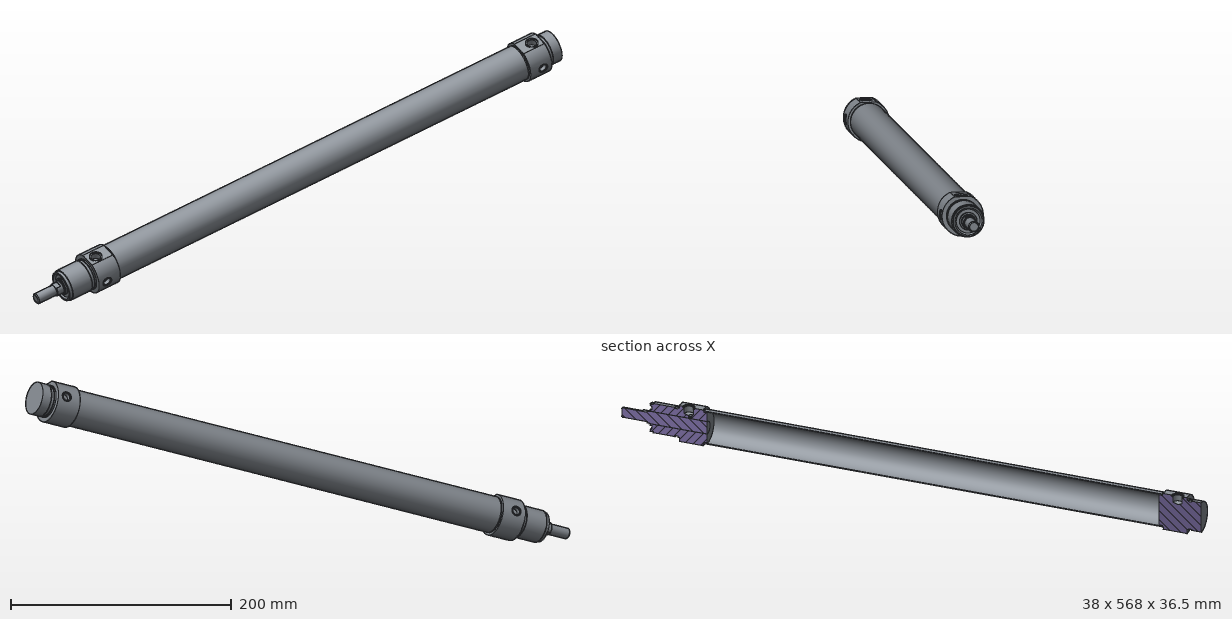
import cadquery as cq


rod_reach = 28.0
total_length = 568.0
front_neck_length = 28.7
rear_neck_length = 14.0
collar_length = 23.3
front_collar_start = front_neck_length
front_collar_end = front_collar_start + collar_length
rear_end = total_length - rod_reach
rear_collar_end = rear_end - rear_neck_length
rear_collar_start = rear_collar_end - collar_length

tube_diameter = 33.6
tube_bore = 31.0

collar_diameter = 38.0
collar_flat_height = 17.5
tube_shoulder_length = 1.2
neck_diameter = 30.0
relief_diameter = 28.0
shoulder_length = 1.5
relief_length = 3.0
nose_length = 3.0
spigot_length = 3.0

tube_start = front_collar_end + tube_shoulder_length
tube_end = rear_collar_start - tube_shoulder_length

port_from_neck = 9.2
port_diameter = 8.57
port_depth = 7.0
port_point_depth = 1.5
passage_diameter = 3.0
passage_offset = 1.5
passage_depth = 10.0
port_recess_diameter = 11.5
port_recess_depth = 1.0
pivot_diameter = 6.92
pivot_depth = 5.0
pivot_recess_diameter = 9.2
pivot_recess_depth = 1.0

seal_mouth_diameter = 25.0
seal_outer_diameter = 22.0
seal_inner_diameter = 16.0
seal_groove_depth = 1.5
lip_diameter = 13.0
lip_length = 1.0

rod_diameter = 12.0
rod_flats_width = 10.0
rod_flats_length = 5.0
rod_end_chamfer = 0.5
thread_diameter = 10.0
thread_length = 20.0
thread_chamfer = 1.0


def cylinder(diameter, start, end):
    """A round bar on the Y axis between two Y positions."""
    return (
        cq.Workplane("XZ", origin=(0, start, 0))
        .circle(diameter / 2)
        .extrude(start - end)
    )


def ring(outer, inner, start, end):
    """A tube on the Y axis between two Y positions."""
    return cylinder(outer, start, end).cut(cylinder(inner, start, end))


def stepped_hole(plane, origin, hole, depth, recess, recess_depth):
    """A blind hole with a shallow recess around its mouth, sunk against the plane's normal."""
    mouth = cq.Workplane(plane, origin=origin)
    return mouth.circle(hole / 2).extrude(-depth).union(mouth.circle(recess / 2).extrude(-recess_depth))


def make_collar(start, port_y):
    """A cover's collar with its flat, port, and two pivot holes."""
    collar = cylinder(collar_diameter, start, start + collar_length)
    above_flat = cq.Workplane("XY", origin=(0, start + collar_length / 2, collar_flat_height)).box(
        collar_diameter, collar_length, collar_diameter, centered=(True, True, False)
    )
    collar = collar.cut(above_flat)
    collar = collar.cut(stepped_hole(
        "XY", (0, port_y, collar_flat_height), port_diameter, port_depth,
        port_recess_diameter, port_recess_depth))
    port_floor = cq.Vector(0, port_y, collar_flat_height - port_depth)
    drill_point = cq.Solid.makeCone(
        port_diameter / 2, 0, port_point_depth, port_floor, cq.Vector(0, 0, -1)
    )
    collar = collar.cut(cq.Workplane(drill_point))
    for plane, side in (("YZ", 1), ("ZY", -1)):
        collar = collar.cut(stepped_hole(
            plane, (side * collar_diameter / 2, port_y, 0), pivot_diameter, pivot_depth,
            pivot_recess_diameter, pivot_recess_depth))
    return collar


def make_seal_groove():
    """The ring groove around the rod's lip, with a sloping outer wall that narrows inward."""
    funnel = cq.Solid.makeCone(
        seal_mouth_diameter / 2, seal_outer_diameter / 2, seal_groove_depth,
        cq.Vector(0, 0, 0), cq.Vector(0, 1, 0),
    )
    return cq.Workplane(funnel).cut(cylinder(seal_inner_diameter, 0, seal_groove_depth))


def make_passage(port_y):
    """The small air hole in the floor of the front port, set toward the tube."""
    mouth = cq.Workplane("XY", origin=(0, port_y + passage_offset, collar_flat_height))
    return mouth.circle(passage_diameter / 2).extrude(-passage_depth)


def make_front_cover():
    """The rod-end cover: nose, threaded neck, collar and the spigot that enters the tube."""
    port_y = front_collar_start + port_from_neck
    shoulder_start = front_collar_start - shoulder_length
    spigot_end = tube_start + spigot_length
    cover = make_collar(front_collar_start, port_y)
    cover = cover.union(cylinder(relief_diameter, 0, front_collar_start))
    cover = cover.union(cylinder(neck_diameter, nose_length, shoulder_start - relief_length))
    cover = cover.union(cylinder(neck_diameter, shoulder_start, front_collar_start))
    cover = cover.union(cylinder(tube_diameter, front_collar_end, tube_start))
    cover = cover.union(cylinder(tube_bore, tube_start, spigot_end))
    cover = cover.union(cylinder(lip_diameter, -lip_length, 0))
    cover = cover.cut(make_seal_groove()).cut(make_passage(port_y))
    return cover.cut(cylinder(rod_diameter, -lip_length, spigot_end))


def make_rear_cover():
    """The closed end cover, with a short neck and a spigot that enters the tube."""
    cover = make_collar(rear_collar_start, rear_collar_end - port_from_neck)
    relief_start = rear_collar_end + shoulder_length
    cover = cover.union(cylinder(neck_diameter, rear_collar_end, relief_start))
    cover = cover.union(cylinder(relief_diameter, relief_start, relief_start + relief_length))
    cover = cover.union(cylinder(neck_diameter, relief_start + relief_length, rear_end))
    cover = cover.union(cylinder(tube_diameter, tube_end, rear_collar_start))
    return cover.union(cylinder(tube_bore, tube_end - spigot_length, tube_end))


def make_tube():
    """The plain barrel between the two covers."""
    return ring(tube_diameter, tube_bore, tube_start, tube_end)


def make_rod():
    """The piston rod, with two wrench flats and a thinner threaded end."""
    thread_start = thread_length - rod_reach
    thread = cylinder(thread_diameter, -rod_reach, thread_start)
    thread = thread.faces("<Y").chamfer(thread_chamfer)
    rod = cylinder(rod_diameter, thread_start, tube_start + spigot_length)
    rod = rod.faces("<Y").chamfer(rod_end_chamfer)
    flats_center = thread_start + rod_flats_length / 2
    flat_cut_height = (rod_flats_width + rod_diameter) / 2
    flat_cut = cq.Workplane("XY").box(rod_diameter, rod_flats_length, rod_diameter)
    for side in (1, -1):
        rod = rod.cut(flat_cut.translate((0, flats_center, side * flat_cut_height)))
    return rod.union(thread)


front_cover = make_front_cover()
rear_cover = make_rear_cover()
tube = make_tube()
rod = make_rod()

result = cq.Compound.makeCompound([front_cover.val(), rear_cover.val(), tube.val(), rod.val()])